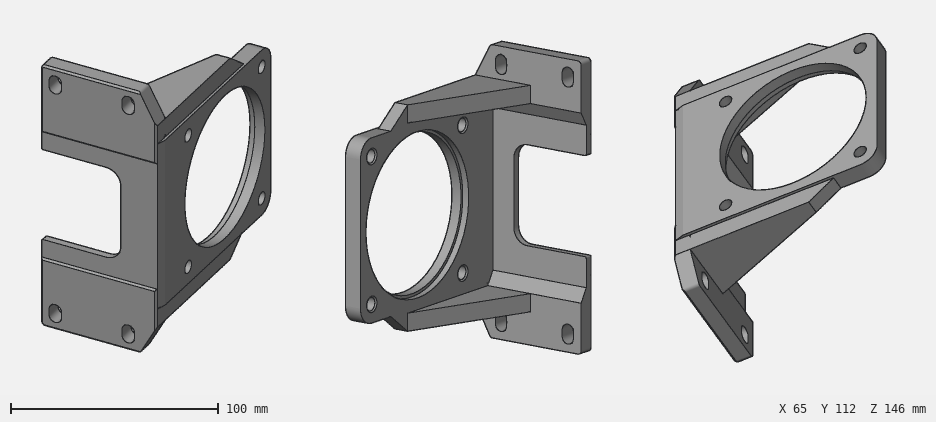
import cadquery as cq


width = 65.0
depth = 112.0
height = 146.0
half_height = height / 2

foot_thickness = 9.0
pad_step = 1.0
pad_inner_z = 35.0
flange_boss = 1.5
foot_width = width - flange_boss
bevel_start_x = 54.3
bevel_end_z = 56.4
corner_radius = 2.0
thin_back_y = 5.0
thin_half_height = 40.5

notch_depth = 43.4
notch_half_height = 25.1
notch_radius = 8.0
arm_tip_radius = 0.9

slot_length = 10.0
slot_width = 6.7
slot_xs = (8.0, 48.0)
slot_z = 64.0

flange_thickness = 9.0
flange_inner_x = width - flange_thickness
flange_half_height = 46.1
flange_radius = 9.0
flange_bevel_y = 6.1
bore_y = 66.0
bore_diameter = 80.0
recess_diameter = 83.0
recess_depth = 3.5
hole_spacing = 73.6
hole_diameter = 6.7
countersink_diameter = 8.2

gusset_thickness = 9.0
gusset_outer_z = bevel_end_z
gusset_inner_z = gusset_outer_z - gusset_thickness
gusset_foot_x = 30.4
gusset_end_y = 73.9
shoulder_end_y = 87.5


def box(x0, x1, y0, y1, z0, z1):
    """Axis-aligned box between two opposite corners."""
    return cq.Workplane("XY").box(x1 - x0, y1 - y0, z1 - z0, centered=False).translate((x0, y0, z0))


def make_foot_blank():
    """Foot plate with rounded corners and bevelled flange-side corners."""
    return (
        cq.Workplane("XZ")
        .polyline([
            (0, -half_height),
            (bevel_start_x, -half_height),
            (foot_width, -bevel_end_z),
            (foot_width, bevel_end_z),
            (bevel_start_x, half_height),
            (0, half_height),
        ])
        .close()
        .extrude(-foot_thickness)
        .edges("|Y and (>Z or <Z)")
        .fillet(corner_radius)
    )


def make_pad():
    """Upper mounting pad, chamfered around its front face before the corner is bevelled."""
    return (
        box(0, foot_width, 0, foot_thickness, pad_inner_z, half_height)
        .edges("|Y and <X and >Z")
        .fillet(corner_radius)
        .faces("<Y")
        .chamfer(pad_step)
    )


def make_foot():
    """Foot with raised end pads, a thinned middle, the arm notch and the slots."""
    middle = box(0, foot_width, pad_step, foot_thickness, -pad_inner_z, pad_inner_z)
    pad = make_pad()
    foot = make_foot_blank().intersect(middle.union(pad).union(pad.mirror("XY")))

    thinning = (
        cq.Workplane("YZ")
        .polyline([
            (thin_back_y, -thin_half_height),
            (foot_thickness, -gusset_inner_z),
            (foot_thickness, gusset_inner_z),
            (thin_back_y, thin_half_height),
        ])
        .close()
        .extrude(foot_width)
    )
    notch = (
        box(0, notch_depth, 0, foot_thickness, -notch_half_height, notch_half_height)
        .edges("|Y and >X")
        .fillet(notch_radius)
    )
    slots = (
        cq.Workplane("XZ")
        .pushPoints([(x, z) for x in slot_xs for z in (-slot_z, slot_z)])
        .slot2D(slot_length, slot_width, 90)
        .extrude(-foot_thickness)
    )
    foot = foot.cut(thinning).cut(notch).cut(slots)
    arm_tips = cq.selectors.BoxSelector(
        (-arm_tip_radius, 0, -notch_half_height - arm_tip_radius),
        (arm_tip_radius, foot_thickness, notch_half_height + arm_tip_radius),
    )
    return foot.edges("|Y").edges(arm_tips).fillet(arm_tip_radius)


def make_flange():
    """Motor flange, with its proud outer face tapering back at the foot."""
    flange = (
        cq.Workplane("XY")
        .workplane(offset=-flange_half_height)
        .polyline([
            (flange_inner_x, pad_step),
            (foot_width, pad_step),
            (width, flange_bevel_y),
            (width, depth),
            (flange_inner_x, depth),
        ])
        .close()
        .extrude(2 * flange_half_height)
    )
    return flange.edges("|X and >Y").fillet(flange_radius)


def make_gusset():
    """Upper gusset: a triangular rib plus the sloping shoulder that joins it to the flange."""
    rib = (
        cq.Workplane("XY")
        .workplane(offset=gusset_inner_z)
        .polyline([
            (gusset_foot_x, foot_thickness),
            (flange_inner_x, gusset_end_y),
            (foot_width, gusset_end_y),
            (foot_width, foot_thickness),
        ])
        .close()
        .extrude(gusset_thickness)
    )
    shoulder = (
        cq.Workplane("YZ")
        .workplane(offset=flange_inner_x)
        .polyline([
            (foot_thickness, 0),
            (foot_thickness, gusset_outer_z),
            (gusset_end_y, gusset_outer_z),
            (shoulder_end_y, flange_half_height),
            (shoulder_end_y, 0),
        ])
        .close()
        .extrude(foot_width - flange_inner_x)
    )
    return rib.union(shoulder)


def cut_flange_holes(body):
    """Stepped centre bore and four countersunk screw holes, worked from the inner face."""
    inner_face = cq.Workplane("YZ", origin=(flange_inner_x, bore_y, 0))
    bore = inner_face.circle(bore_diameter / 2).extrude(flange_thickness)
    recess = inner_face.circle(recess_diameter / 2).extrude(recess_depth)
    body = body.cut(bore).cut(recess)

    hole_pattern = inner_face.rect(hole_spacing, hole_spacing, forConstruction=True).vertices()
    holes = hole_pattern.circle(hole_diameter / 2).extrude(flange_thickness)
    countersink_depth = (countersink_diameter - hole_diameter) / 2
    countersinks = hole_pattern.circle(countersink_diameter / 2).extrude(countersink_depth, taper=45)
    return body.cut(holes).cut(countersinks)


gusset = make_gusset()
body = make_foot().union(make_flange()).union(gusset).union(gusset.mirror("XY"))
result = cut_flange_holes(body)